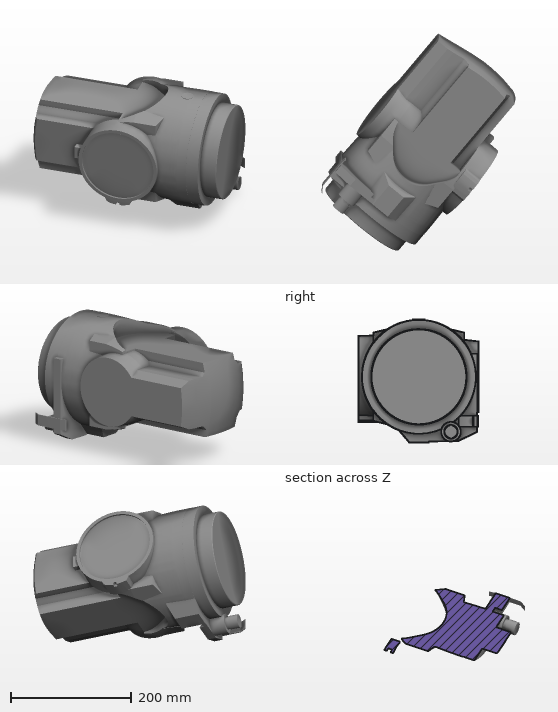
import cadquery as cq
import math

reach = 166.5

arm_half_height = 64.5
arm_front_y = -66.0
arm_back_y = 99.3
tip_radius = 233.3
tip_blend_y = 33.0
tip_corner_y = -53.3
tip_corner_end_x = 12.3
tip_corner_bulge = 1.5
channel_floor_z = 43.3
lower_channel_floor_z = 37.3
back_floor_z = 42.5
back_edge_z = 41.5
back_flank_z = 33.3
shoulder_x = 156.5

boss_x = 168.0
back_boss_root_y = 67.5
back_boss_root_radius = 62.5
back_boss_tip_radius = 59.0
cover_front_y = -100.5
cover_root_radius = 69.3
cover_rim_radius = 68.3
cover_recess_radius = 62.5
cover_recess_depth = 3.3

lug_back_y = -70.5
lug_top_z = -50.0
lug_radius = 75.3
lug_flat_half = 13.3
lug_flat_z = -73.5
lug_notch_z = -73.5
lug_notch_radius = 3.3
lug_notch_depth = 6.5
tab_start_x = 86.3
tab_half_height = 10.3
tab_back_y = -70.3
tab_width = 10.5

housing_end_x = 285.3
housing_radius = 95.0
housing_start_x = 191.5
taper_start_x = 269.3
taper_mid_x = 221.5
taper_mid_radius = 93.5
housing_root_radius = 92.0
flange_end_x = 306.0
flange_radius = 94.5
neck_end_x = 333.2
neck_radius = 79.5
neck_chamfer = 1.0
disc_x = 257.5
disc_radius = 10.0
disc_top_z = 95.3

nose_radius = 53.3
nose_arc_y = 40.3
nose_line_y = 53.3
shoulder_bulge = 3.0

pad_outer_y = 75.5
pad_inner_y = 53.3
pad_root_y = 45.5
pad_root_x = 198.5
pad_outer_x = 226.0
pad_tip_x = 233.5
pad_outer_z = 73.5
pad_inner_z = 79.0
back_pad_ramp = [(shoulder_x, 66.0), (175.3, 71.0), (191.5, pad_outer_z)]
front_pad_ramp = [(shoulder_x, 66.5), (173.3, 71.5), (186.5, pad_outer_z)]

keel_root_x = 234.0
keel_foot_x = 243.3
keel_root_z = -89.0
keel_bottom_z = -109.3
keel_top_z = -66.5
keel_half_width = 16.0
keel_side_slope = 0.85

plate_start_x = 271.0
clip_end_x = 297.5
plate_outer_y = 97.0
plate_inner_y = 66.5
plate_top_z = 38.0
web_start_x = 278.3
plate_bottom_z = -107.5
plate_edge_low = (26.0, plate_bottom_z)
plate_edge_high = (50.0, -76.5)
connector_y = 53.3
connector_z = -91.3
collar_radius = 16.3
collar_end_x = 310.0
groove_radius = 10.3
groove_end_x = 315.0
plug_radius = 11.3
plug_end_x = 331.3
leaf_thickness = 1.5
leaf_start = (260.0, 95.3)
leaf_bend_x = 317.3
leaf_end = (328.3, 89.5)
leaf_bottom_z = -83.3
leaf_top_z = -64.5


def extrude_x(points, start, end):
    """Prism along X from a list of (y, z) points."""
    return cq.Workplane("YZ", origin=(start, 0, 0)).polyline(points).close().extrude(end - start)


def cylinder_x(y, z, radius, start, end):
    return cq.Workplane("YZ", origin=(start, y, z)).circle(radius).extrude(end - start)


def cone_y(start_y, start_radius, end_y, end_radius):
    """Tapered round boss along Y on the boss axis."""
    half = [(0, start_y), (start_radius, start_y), (end_radius, end_y), (0, end_y)]
    return (
        cq.Workplane("XY", origin=(boss_x, 0, 0))
        .polyline(half)
        .close()
        .revolve(360, (0, 0), (0, 1))
    )


def tip_x(y):
    """Arm tip position on the spherical part at z = 0."""
    return tip_radius - math.sqrt(tip_radius**2 - y**2)


def make_tip_envelope():
    """Revolved shape that rounds the arm tip in both directions."""
    blend_x = tip_x(tip_blend_y)
    slope = tip_blend_y / (tip_radius - blend_x)
    back_x = blend_x + slope * (arm_back_y - tip_blend_y)
    corner_x = tip_x(tip_corner_y)
    corner_mid = (corner_x + tip_corner_bulge, (tip_corner_y + arm_front_y) / 2)
    return (
        cq.Workplane("XY")
        .moveTo(tip_radius, arm_back_y)
        .lineTo(back_x, arm_back_y)
        .lineTo(blend_x, tip_blend_y)
        .threePointArc((0, 0), (corner_x, tip_corner_y))
        .threePointArc(corner_mid, (tip_corner_end_x, arm_front_y))
        .lineTo(tip_radius, arm_front_y)
        .close()
        .revolve(360, (tip_radius, 0), (tip_radius, 1))
    )


def make_arm():
    section = [
        (arm_front_y, channel_floor_z), (-49.0, channel_floor_z), (-38.3, 53.3),
        (-38.3, arm_half_height),
        (42.3, arm_half_height), (42.3, 48.5), (48.5, back_floor_z), (68.0, back_floor_z),
        (79.5, back_edge_z), (arm_back_y, back_flank_z),
        (arm_back_y, -back_flank_z), (79.5, -back_edge_z), (68.0, -back_floor_z),
        (47.3, -back_floor_z), (37.0, -52.0), (37.0, -arm_half_height),
        (-44.0, -arm_half_height), (-44.0, -47.0), (-51.5, -lower_channel_floor_z),
        (arm_front_y, -lower_channel_floor_z),
    ]
    core = [
        (arm_front_y, -arm_half_height), (back_boss_root_y, -arm_half_height),
        (back_boss_root_y, arm_half_height), (arm_front_y, arm_half_height),
    ]
    bar = extrude_x(section, 0, boss_x).intersect(make_tip_envelope())
    return bar.union(extrude_x(core, shoulder_x, housing_start_x))


def make_housing():
    profile = (
        cq.Workplane("XY")
        .moveTo(housing_start_x, 0)
        .lineTo(housing_start_x, housing_root_radius)
        .threePointArc((taper_mid_x, taper_mid_radius), (taper_start_x, housing_radius))
        .lineTo(housing_end_x, housing_radius)
        .lineTo(housing_end_x, flange_radius)
        .lineTo(flange_end_x, flange_radius)
        .lineTo(flange_end_x, neck_radius)
        .lineTo(neck_end_x - neck_chamfer, neck_radius)
        .lineTo(neck_end_x, neck_radius - neck_chamfer)
        .lineTo(neck_end_x, 0)
        .close()
    )
    housing = profile.revolve(360, (0, 0), (1, 0))
    disc = cq.Workplane("XY", origin=(disc_x, 0, 0)).circle(disc_radius).extrude(disc_top_z)
    return housing.union(disc)


def pad_side_wire(pad, ramp, rise):
    """Add the side outline of a pad, ramp included, raised by a height."""
    low, middle, top = [(x, z + rise) for x, z in ramp]
    return (
        pad.moveTo(shoulder_x, 0)
        .lineTo(*low)
        .threePointArc(middle, top)
        .lineTo(pad_tip_x, pad_outer_z + rise)
        .lineTo(pad_tip_x, 0)
        .close()
    )


def make_pad(ramp):
    """Pad on the upper back corner, rising toward the main axis."""
    plan = [
        (shoulder_x, pad_root_y), (shoulder_x, pad_outer_y), (pad_outer_x, pad_outer_y),
        (pad_tip_x, pad_inner_y), (pad_root_x, pad_root_y),
    ]
    blank = cq.Workplane("XY").polyline(plan).close().extrude(reach)
    depth = pad_outer_y - pad_root_y
    root_rise = (pad_inner_z - pad_outer_z) * depth / (pad_outer_y - pad_inner_y)
    outer = pad_side_wire(cq.Workplane("XZ", origin=(0, pad_outer_y, 0)), ramp, 0)
    sloped = pad_side_wire(outer.workplane(offset=depth), ramp, root_rise).loft(ruled=True)
    return blank.intersect(sloped)


def make_nose_cut():
    """Tool above the arm that leaves the rounded flat nose."""
    arc_angle = math.asin(nose_arc_y / nose_radius)
    arc_x = boss_x + nose_radius * math.cos(arc_angle)
    line_x = arc_x - (nose_line_y - nose_arc_y) * math.tan(arc_angle)
    shoulder_mid = ((line_x + shoulder_x) / 2, (nose_line_y + back_boss_root_y) / 2 + shoulder_bulge)
    outline = (
        cq.Workplane("XY", origin=(0, 0, arm_half_height))
        .moveTo(shoulder_x, -back_boss_root_y)
        .threePointArc((shoulder_mid[0], -shoulder_mid[1]), (line_x, -nose_line_y))
        .lineTo(arc_x, -nose_arc_y)
        .threePointArc((boss_x + nose_radius, 0), (arc_x, nose_arc_y))
        .lineTo(line_x, nose_line_y)
        .threePointArc(shoulder_mid, (shoulder_x, back_boss_root_y))
        .close()
    )
    return outline.extrude(reach)


def make_cover():
    cover = cone_y(cover_front_y, cover_rim_radius, arm_front_y, cover_root_radius)
    lug = (
        cq.Workplane("XZ", origin=(boss_x, lug_back_y, 0))
        .polyline([(-23.3, lug_top_z), (-23.3, -62.5), (-19.3, -71.0), (-lug_flat_half, lug_flat_z)])
        .threePointArc((0, -lug_radius), (lug_flat_half, lug_flat_z))
        .lineTo(20.5, -72.0)
        .lineTo(24.5, -63.5)
        .lineTo(24.5, lug_top_z)
        .close()
        .extrude(lug_back_y - cover_front_y)
    )
    notch = (
        cq.Workplane("XZ", origin=(boss_x, cover_front_y + lug_notch_depth, lug_notch_z))
        .circle(lug_notch_radius)
        .extrude(lug_notch_depth)
    )
    recess = (
        cq.Workplane("XZ", origin=(boss_x, cover_front_y + cover_recess_depth, 0))
        .circle(cover_recess_radius)
        .extrude(reach)
    )
    tab = cq.Workplane("XY").box(
        boss_x - tab_start_x, tab_width, 2 * tab_half_height, centered=(False, False, True)
    ).translate((tab_start_x, tab_back_y - tab_width, 0))
    return cover.union(lug).cut(notch).union(tab).cut(recess)


def make_keel():
    top_half_width = keel_half_width + keel_side_slope * (keel_top_z - keel_bottom_z)
    wedge = extrude_x(
        [
            (-keel_half_width, keel_bottom_z), (keel_half_width, keel_bottom_z),
            (top_half_width, keel_top_z), (-top_half_width, keel_top_z),
        ],
        keel_root_x,
        housing_end_x,
    )
    side = (
        cq.Workplane("XZ")
        .polyline([
            (keel_root_x, keel_top_z), (keel_root_x, keel_root_z), (keel_foot_x, keel_bottom_z),
            (housing_end_x, keel_bottom_z), (housing_end_x, keel_top_z),
        ])
        .close()
        .extrude(reach, both=True)
    )
    return wedge.intersect(side)


def make_side_plate():
    plate = extrude_x(
        [
            (plate_outer_y, plate_top_z), (plate_outer_y, -91.5), (65.3, -107.0), plate_edge_low,
            plate_edge_high, (plate_inner_y, plate_top_z),
        ],
        plate_start_x,
        housing_end_x,
    )
    rim_clip = extrude_x(
        [
            (plate_outer_y, leaf_top_z), (plate_outer_y, leaf_bottom_z),
            (plate_inner_y, leaf_bottom_z), (plate_inner_y, leaf_top_z),
        ],
        housing_end_x,
        clip_end_x,
    )
    web = extrude_x(
        [(keel_half_width, plate_bottom_z), plate_edge_low, plate_edge_high, (33.3, plate_edge_high[1])],
        web_start_x,
        housing_end_x,
    )
    collar = cylinder_x(connector_y, connector_z, collar_radius, housing_end_x, collar_end_x)
    groove = cylinder_x(connector_y, connector_z, groove_radius, collar_end_x, groove_end_x)
    plug = cylinder_x(connector_y, connector_z, plug_radius, groove_end_x, plug_end_x)
    end_x, end_y = leaf_end
    leaf_outer_y = plate_outer_y + leaf_thickness
    leaf = (
        cq.Workplane("XY", origin=(0, 0, leaf_bottom_z))
        .polyline([
            leaf_start, (plate_start_x, plate_outer_y), (leaf_bend_x, plate_outer_y), (end_x, end_y),
            (end_x, end_y + leaf_thickness), (leaf_bend_x, leaf_outer_y),
            (plate_start_x, leaf_outer_y), (leaf_start[0], leaf_start[1] + leaf_thickness),
        ])
        .close()
        .extrude(leaf_top_z - leaf_bottom_z)
    )
    return plate.union(rim_clip).union(web).union(collar).union(groove).union(plug).union(leaf)


upper_pads = make_pad(back_pad_ramp).union(make_pad(front_pad_ramp).mirror("XZ"))
nose_cut = make_nose_cut()
back_boss = cone_y(back_boss_root_y, back_boss_root_radius, arm_back_y, back_boss_tip_radius)
boss_core = cone_y(0, back_boss_root_radius, back_boss_root_y, back_boss_root_radius)

result = (
    make_housing()
    .union(upper_pads)
    .union(upper_pads.mirror("XY"))
    .cut(nose_cut)
    .cut(nose_cut.mirror("XY"))
    .union(make_arm())
    .union(boss_core)
    .union(back_boss)
    .union(make_cover())
    .union(make_keel())
    .union(make_side_plate())
)